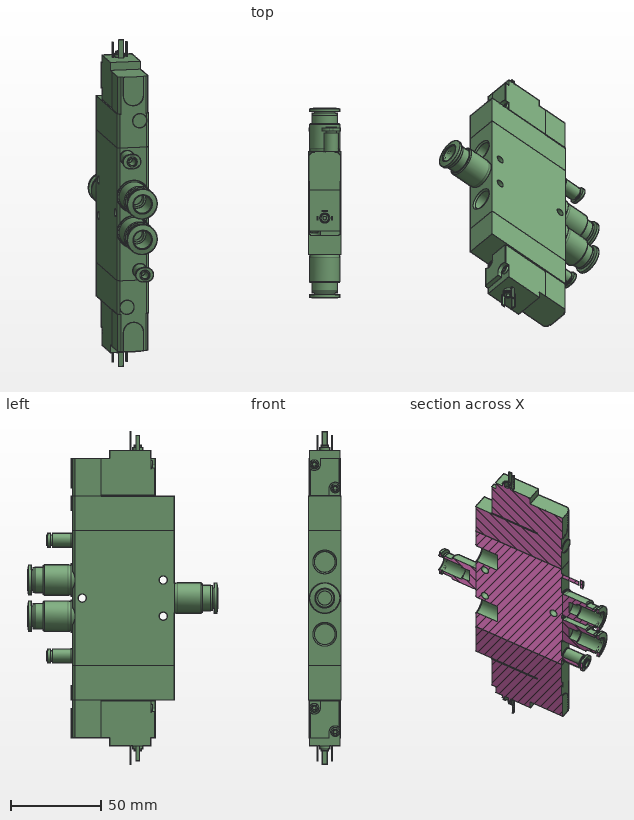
import cadquery as cq

HOUSING_WIDTH = 18.0
HOUSING_HALF_HEIGHT = 37.4
FRONT_Y = -28.5
BACK_Y = 27.9
BACK_CHAMFER = 1.5
BOSS_TOP_Y = -FRONT_Y
BOSS_ROOT_Y = BACK_Y - BACK_CHAMFER

PORT_PITCH = 20.0
PORT_DIAMETER = 11.45
PORT_MOUTH_DIAMETER = 13.16
PORT_DEPTH = 14.0
WORKING_PORT_Z = PORT_PITCH / 2
PILOT_PORT_X = 3.6
PILOT_PORT_Z = 32.0
MOUNT_HOLE_DIAMETER = 4.4
MOUNT_HOLE_Y = 22.4
MOUNT_HOLE_PITCH = 20.0
SMALL_BOSS_DIAMETER = 8.0

CAP_TOP_Z = 56.4
OVERRIDE_Z = 52.4
PILOT_WIDTH = 17.2
PILOT_TOP_Z = 77.3
PILOT_FRONT_Y = 11.9
PAD_WIDTH = 11.4
PAD_BOTTOM_Z = 61.0

SOLENOID_WIDTH = 17.0
SOLENOID_BOTTOM_Z = 56.8
SOLENOID_TOP_Z = 81.75
SOLENOID_STEP_Y = 7.3
SOLENOID_FRONT_Y = -15.5
COVER_SIDE_Y = -17.5
COVER_FRONT_Y = -18.0
COVER_FACE_WIDTH = 16.0
SCREW_X = 5.8
UPPER_SCREW_Z = 74.0
LOWER_SCREW_Z = 60.7
SCREW_POCKET_RADIUS = 3.4
SCREW_HEAD_DIAMETER = 5.0
SCREW_TOP_DIAMETER = 3.4
SCREW_HEAD_HEIGHT = 1.0
SCREW_SOCKET_DIAMETER = 2.0

TERMINAL_Y = -8.3
STUD_SECTIONS = [(5.6, 83.4), (4.13, 84.2), (4.4, 84.7)]
STUD_HOLE_DIAMETER = 2.0
BLADE_THICKNESS = 0.6
GROUND_BLADE_Y = -4.4
GROUND_BLADE_WIDTH = 2.8
GROUND_BLADE_TOP_Z = 92.0
SIDE_BLADE_X = 3.9
SIDE_BLADE_WIDTH = 2.0
SIDE_BLADE_TOP_Z = 90.0

FITTING_LENGTH = 24.1
FITTING_BODY_DIAMETER = 17.0
FITTING_SEAT_DIAMETER = 16.4
FITTING_SEAT_LENGTH = 1.7
FITTING_SHOULDER = 15.5
FITTING_SHOULDER_CHAMFER = 0.6
FITTING_HEAD_DIAMETER = 14.3
FITTING_HEAD_END = 20.0
FITTING_RING_DIAMETER = 14.0
FITTING_RING_END = 21.2
COLLET_DIAMETER = 11.4
COLLAR_DIAMETER = 16.8
COLLAR_START = 22.1
COLLAR_RIM_END = 23.6
COLLAR_MOUTH_DIAMETER = 11.0
TUBE_DIAMETER = 10.0
TUBE_DEPTH = 15.0
FLOW_DIAMETER = 7.8
FLOW_DEPTH = 20.0

SMALL_BODY_DIAMETER = 7.8
SMALL_BODY_LENGTH = 10.4
SMALL_NECK_DIAMETER = 6.0
SMALL_COLLAR_START = 11.4
SMALL_COLLAR_END = 13.0
SMALL_COLLAR_WIDTH = 10.0
SMALL_TIP_DIAMETER = 5.6
SMALL_LENGTH = 13.6
SMALL_TUBE_DIAMETER = 4.0
SMALL_TUBE_DEPTH = 9.0


def box_between(x0, x1, y0, y1, z0, z1):
    """Box given by its limits along each axis."""
    return cq.Workplane("XY").box(x1 - x0, y1 - y0, z1 - z0, centered=False).translate((x0, y0, z0))


def cylinder_y(diameter, x, z, y0, y1):
    """Cylinder along Y from y0 up to y1."""
    solid = cq.Solid.makeCylinder(diameter / 2, y1 - y0, cq.Vector(x, y0, z), cq.Vector(0, 1, 0))
    return cq.Workplane(obj=solid)


def cone_y(diameter0, diameter1, x, z, y0, y1):
    """Truncated cone along Y, diameter0 at y0 and diameter1 at y1."""
    axis = cq.Vector(0, 1, 0)
    solid = cq.Solid.makeCone(diameter0 / 2, diameter1 / 2, y1 - y0, cq.Vector(x, y0, z), axis)
    return cq.Workplane(obj=solid)


def both_ends(shape):
    """The +Z feature and its copy at the -Z end, turned half a turn about Y."""
    return [shape, turned_to_lower_end(shape)]


def turned_to_lower_end(shape):
    return shape.rotate((0, 0, 0), (0, 1, 0), 180)


def chamfered_block(z0, z1):
    """Full-width block from z0 to z1 with its two long back edges chamfered."""
    half_width = HOUSING_WIDTH / 2
    block = box_between(-half_width, half_width, FRONT_Y, BACK_Y, z0, z1)
    return block.edges("|Z and >Y").chamfer(BACK_CHAMFER)


def make_housing():
    housing = chamfered_block(-HOUSING_HALF_HEIGHT, HOUSING_HALF_HEIGHT)

    working_boss = cylinder_y(HOUSING_WIDTH, 0, WORKING_PORT_Z, BOSS_ROOT_Y, BOSS_TOP_Y)
    pilot_boss = cylinder_y(SMALL_BOSS_DIAMETER, PILOT_PORT_X, PILOT_PORT_Z, BOSS_ROOT_Y, BOSS_TOP_Y)
    for boss in (working_boss, pilot_boss):
        for copy in both_ends(boss):
            housing = housing.union(copy)

    mouth_depth = (PORT_MOUTH_DIAMETER - PORT_DIAMETER) / 2
    for z in (-PORT_PITCH, PORT_PITCH):
        housing = housing.cut(cylinder_y(PORT_DIAMETER, 0, z, FRONT_Y, FRONT_Y + PORT_DEPTH))
        mouth = cone_y(PORT_MOUTH_DIAMETER, PORT_DIAMETER, 0, z, FRONT_Y, FRONT_Y + mouth_depth)
        housing = housing.cut(mouth)

    hole_places = [
        (MOUNT_HOLE_Y, 0),
        (-MOUNT_HOLE_Y, MOUNT_HOLE_PITCH / 2),
        (-MOUNT_HOLE_Y, -MOUNT_HOLE_PITCH / 2),
    ]
    holes = (
        cq.Workplane("YZ")
        .pushPoints(hole_places)
        .circle(MOUNT_HOLE_DIAMETER / 2)
        .extrude(HOUSING_WIDTH / 2, both=True)
    )
    return housing.cut(holes)


def make_end_cap():
    """Upper end cap with the round manual override on its back face."""
    cap = chamfered_block(HOUSING_HALF_HEIGHT, CAP_TOP_Z)
    override = cylinder_y(SMALL_BOSS_DIAMETER, -PILOT_PORT_X, OVERRIDE_Z, BOSS_ROOT_Y, BOSS_TOP_Y)
    return cap.union(override)


def make_pilot_block():
    """Upper pilot block with its round-ended raised pad on the back face."""
    half_width = PILOT_WIDTH / 2
    block = box_between(-half_width, half_width, PILOT_FRONT_Y, BACK_Y, CAP_TOP_Z, PILOT_TOP_Z)
    block = block.edges("|Z and >Y").chamfer(BACK_CHAMFER)
    half_pad = PAD_WIDTH / 2
    pad_round_z = PAD_BOTTOM_Z + half_pad
    pad = box_between(-half_pad, half_pad, PILOT_FRONT_Y, BOSS_TOP_Y, pad_round_z, PILOT_TOP_Z)
    pad_end = cylinder_y(PAD_WIDTH, 0, pad_round_z, PILOT_FRONT_Y, BOSS_TOP_Y)
    return block.union(pad).union(pad_end)


def make_terminals():
    """Stepped stud with a centre hole, one wide blade and two side blades."""
    stud_bottom_z = SOLENOID_TOP_Z
    terminals = cq.Workplane("XY")
    for diameter, top_z in STUD_SECTIONS:
        section = (
            cq.Workplane("XY", origin=(0, TERMINAL_Y, stud_bottom_z))
            .circle(diameter / 2)
            .circle(STUD_HOLE_DIAMETER / 2)
            .extrude(top_z - stud_bottom_z)
        )
        terminals = terminals.add(section)
        stud_bottom_z = top_z

    half_thickness = BLADE_THICKNESS / 2
    half_ground = GROUND_BLADE_WIDTH / 2
    ground_blade = box_between(
        -half_ground, half_ground,
        GROUND_BLADE_Y - half_thickness, GROUND_BLADE_Y + half_thickness,
        SOLENOID_TOP_Z, GROUND_BLADE_TOP_Z,
    )
    terminals = terminals.add(ground_blade)
    half_side = SIDE_BLADE_WIDTH / 2
    for x in (-SIDE_BLADE_X, SIDE_BLADE_X):
        side_blade = box_between(
            x - half_thickness, x + half_thickness,
            TERMINAL_Y - half_side, TERMINAL_Y + half_side,
            SOLENOID_TOP_Z, SIDE_BLADE_TOP_Z,
        )
        terminals = terminals.add(side_blade)
    return terminals


def make_cover():
    """Front cover plate, cut away around the screw heads at two opposite corners."""
    half_width = SOLENOID_WIDTH / 2
    half_face = COVER_FACE_WIDTH / 2
    cover = box_between(
        -half_width, half_width, COVER_SIDE_Y, SOLENOID_FRONT_Y, SOLENOID_BOTTOM_Z, PILOT_TOP_Z
    )
    face = box_between(
        -half_face, half_face, COVER_FRONT_Y, COVER_SIDE_Y, SOLENOID_BOTTOM_Z, PILOT_TOP_Z
    )
    cover = cover.union(face)

    pocket_edge_x = SCREW_X - SCREW_POCKET_RADIUS
    pocket_diameter = 2 * SCREW_POCKET_RADIUS
    pockets = [
        (-SCREW_X, -half_width, -pocket_edge_x, UPPER_SCREW_Z, UPPER_SCREW_Z, PILOT_TOP_Z),
        (SCREW_X, pocket_edge_x, half_width, LOWER_SCREW_Z, SOLENOID_BOTTOM_Z, LOWER_SCREW_Z),
    ]
    for screw_x, x0, x1, screw_z, z0, z1 in pockets:
        cover = cover.cut(cylinder_y(pocket_diameter, screw_x, screw_z, COVER_FRONT_Y, SOLENOID_FRONT_Y))
        cover = cover.cut(box_between(x0, x1, COVER_FRONT_Y, SOLENOID_FRONT_Y, z0, z1))
    return cover


def make_solenoid():
    """Upper solenoid: stepped case, cover, two tapered screw heads and terminals."""
    profile = [
        (SOLENOID_FRONT_Y, SOLENOID_BOTTOM_Z),
        (SOLENOID_FRONT_Y, SOLENOID_TOP_Z),
        (SOLENOID_STEP_Y, SOLENOID_TOP_Z),
        (SOLENOID_STEP_Y, PILOT_TOP_Z),
        (PILOT_FRONT_Y, PILOT_TOP_Z),
        (PILOT_FRONT_Y, SOLENOID_BOTTOM_Z),
    ]
    case = cq.Workplane("YZ").polyline(profile).close().extrude(SOLENOID_WIDTH / 2, both=True)
    solenoid = case.union(make_cover())
    head_y = SOLENOID_FRONT_Y - SCREW_HEAD_HEIGHT
    for x, z in ((-SCREW_X, UPPER_SCREW_Z), (SCREW_X, LOWER_SCREW_Z)):
        head = cone_y(SCREW_TOP_DIAMETER, SCREW_HEAD_DIAMETER, x, z, head_y, SOLENOID_FRONT_Y)
        socket = cylinder_y(SCREW_SOCKET_DIAMETER, x, z, head_y, SOLENOID_FRONT_Y)
        solenoid = solenoid.union(head).cut(socket)
    for terminal in make_terminals().vals():
        solenoid = solenoid.union(cq.Workplane(obj=terminal))
    return solenoid


def make_actuator():
    return make_end_cap().union(make_pilot_block()).union(make_solenoid())


def make_large_fitting():
    """Large push-in fitting on the Y axis, seat at Y = 0, opening toward +Y."""
    body_radius = FITTING_BODY_DIAMETER / 2
    mouth_chamfer = (COLLAR_MOUTH_DIAMETER - TUBE_DIAMETER) / 2
    profile = [
        (0, 0),
        (FITTING_SEAT_DIAMETER / 2, 0),
        (body_radius, FITTING_SEAT_LENGTH),
        (body_radius, FITTING_SHOULDER - FITTING_SHOULDER_CHAMFER),
        (body_radius - FITTING_SHOULDER_CHAMFER, FITTING_SHOULDER),
        (FITTING_HEAD_DIAMETER / 2, FITTING_SHOULDER),
        (FITTING_HEAD_DIAMETER / 2, FITTING_HEAD_END),
        (FITTING_RING_DIAMETER / 2, FITTING_HEAD_END),
        (FITTING_RING_DIAMETER / 2, FITTING_RING_END),
        (COLLET_DIAMETER / 2, FITTING_RING_END),
        (COLLET_DIAMETER / 2, COLLAR_START),
        (COLLAR_DIAMETER / 2, COLLAR_START),
        (COLLAR_DIAMETER / 2, COLLAR_RIM_END),
        (COLLAR_MOUTH_DIAMETER / 2, FITTING_LENGTH),
        (TUBE_DIAMETER / 2, FITTING_LENGTH - mouth_chamfer),
        (TUBE_DIAMETER / 2, FITTING_LENGTH - TUBE_DEPTH),
        (FLOW_DIAMETER / 2, FITTING_LENGTH - TUBE_DEPTH),
        (FLOW_DIAMETER / 2, FITTING_LENGTH - FLOW_DEPTH),
        (0, FITTING_LENGTH - FLOW_DEPTH),
    ]
    return cq.Workplane("XY").polyline(profile).close().revolve(360, (0, 0, 0), (0, 1, 0))


def make_small_fitting():
    """Small push-in fitting on the Y axis with an oval release collar, seat at Y = 0."""
    body = cylinder_y(SMALL_BODY_DIAMETER, 0, 0, 0, SMALL_BODY_LENGTH)
    neck = cylinder_y(SMALL_NECK_DIAMETER, 0, 0, SMALL_BODY_LENGTH, SMALL_COLLAR_START)
    collar = (
        cq.Workplane("XZ", origin=(0, SMALL_COLLAR_END, 0))
        .slot2D(SMALL_COLLAR_WIDTH, SMALL_BODY_DIAMETER)
        .extrude(SMALL_COLLAR_END - SMALL_COLLAR_START)
    )
    tip = cylinder_y(SMALL_TIP_DIAMETER, 0, 0, SMALL_COLLAR_END, SMALL_LENGTH)
    bore = cylinder_y(SMALL_TUBE_DIAMETER, 0, 0, SMALL_LENGTH - SMALL_TUBE_DEPTH, SMALL_LENGTH)
    return body.union(neck).union(collar).union(tip).cut(bore)


housing = make_housing()
actuators = both_ends(make_actuator())
supply_fitting = make_large_fitting().rotate((0, 0, 0), (0, 0, 1), 180).translate((0, FRONT_Y, 0))
working_fittings = both_ends(make_large_fitting().translate((0, BOSS_TOP_Y, WORKING_PORT_Z)))
pilot_fittings = both_ends(make_small_fitting().translate((PILOT_PORT_X, BOSS_TOP_Y, PILOT_PORT_Z)))

bodies = [housing, *actuators, supply_fitting, *working_fittings, *pilot_fittings]
result = cq.Compound.makeCompound([body.val() for body in bodies])